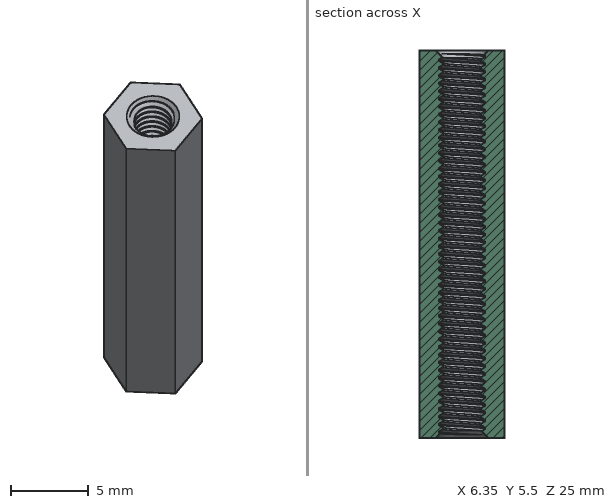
import cadquery as cq
import math

length = 25.0
across_flats = 5.5
across_corners = across_flats / math.cos(math.radians(30))

pitch = 0.5
major_radius = 1.5
minor_radius = 1.22
root_flat = pitch / 8
flank_angle = 30.0

mouth_radius = 1.7
mouth_half_angle = 45.0
mouth_apex_depth = mouth_radius / math.tan(math.radians(mouth_half_angle))

extra_turns = 2
core_turns = math.ceil(length / pitch) + 2 * extra_turns
core_bottom = -extra_turns * pitch

root_half = root_flat / 2
groove_half = root_half + (major_radius - minor_radius) * math.tan(math.radians(flank_angle))
thread_section = [
    (minor_radius, -groove_half),
    (major_radius, -root_half),
    (major_radius, root_half),
    (minor_radius, groove_half),
]


def helix_turn(radius, height):
    """One turn of a helix that starts at the given height."""
    turn = cq.Wire.makeHelix(pitch, pitch, radius)
    return turn.translate(cq.Vector(0, 0, height)).Edges()[0]


def end_faces(section_height, crest_helix):
    """Close the core with a helical ramp and the flat step between its two ends."""
    ramp_start = section_height - groove_half
    ramp_end = ramp_start + pitch
    axis = cq.Edge.makeLine(cq.Vector(0, 0, ramp_start), cq.Vector(0, 0, ramp_end))
    ramp = cq.Face.makeRuledSurface(axis, crest_helix)

    step_corners = [cq.Vector(0, 0, ramp_start)]
    for radius, height in thread_section:
        step_corners.append(cq.Vector(radius, 0, section_height + height))
    step_corners.append(cq.Vector(minor_radius, 0, ramp_end))
    step_corners.append(cq.Vector(0, 0, ramp_end))
    step = cq.Face.makeFromWires(cq.Wire.makePolygon(step_corners, close=True))
    return [ramp, step]


def threaded_core():
    """Screw-shaped solid whose outside is the wall of the threaded hole."""
    section_heights = [core_bottom + turn * pitch for turn in range(core_turns + 1)]
    turns = [
        [helix_turn(radius, base + height) for radius, height in thread_section]
        for base in section_heights
    ]

    faces = []
    for helices, next_helices in zip(turns, turns[1:]):
        boundaries = helices + [next_helices[0]]
        for lower, upper in zip(boundaries, boundaries[1:]):
            faces.append(cq.Face.makeRuledSurface(lower, upper))

    faces += end_faces(section_heights[0], turns[0][0])
    faces += end_faces(section_heights[-1], turns[-1][0])
    core = cq.Solid.makeSolid(cq.Shell.makeShell(faces)).fix()
    return cq.Workplane(obj=core)


def mouth_cones():
    """Countersink cones pointing into the bar from its bottom and top."""
    bottom = cq.Workplane(obj=cq.Solid.makeCone(mouth_radius, 0, mouth_apex_depth))
    top = bottom.mirror("XY").translate((0, 0, length))
    return [bottom, top]


result = cq.Workplane("XY").polygon(6, across_corners).extrude(length)
result = result.cut(threaded_core(), clean=False)
for cone in mouth_cones():
    result = result.cut(cone, clean=False)